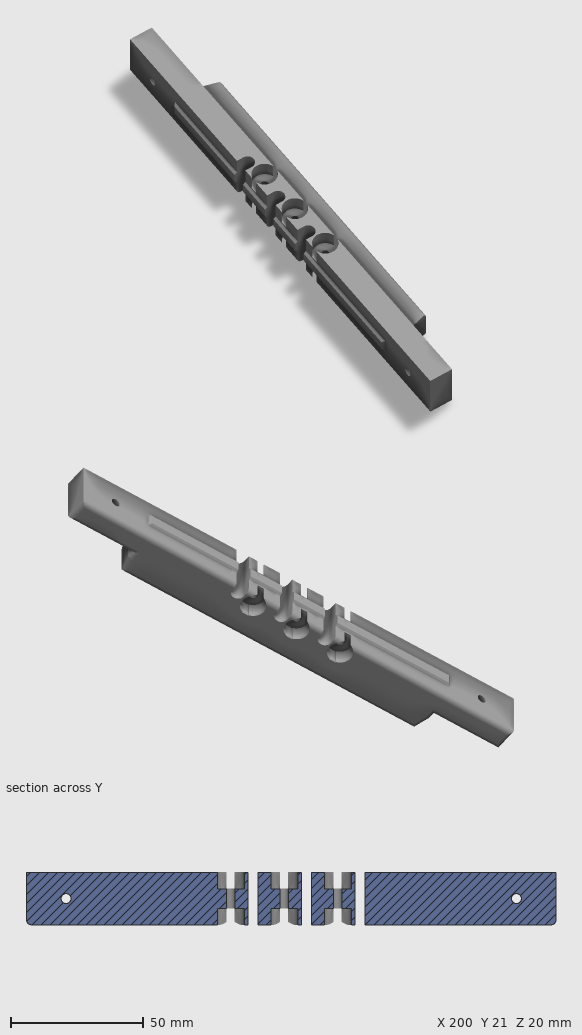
import cadquery as cq

bar_length = 200.0
bar_depth = 10.0
bar_height = 20.0
bottom_fillet = 2.0

block_length = 140.0
block_depth = 10.0
block_height = 13.5
block_straight_depth = 3.0
block_end_taper = 2.0
block_top_fillet = 1.5

rail_length = 140.0
rail_height = 6.2
rail_thickness = 1.0
rail_bevel = 1.0

mount_hole_diameter = 3.5
mount_hole_inset = 15.0

station_count = 3
station_pitch = 20.2
first_slot_x = 74.0
slot_to_bore = 8.5
slot_width = 5.5
slot_depth = 5.8
pin_hole_diameter = 3.0
counterbore_diameter = 10.0
counterbore_depth = 6.2
window_width = 3.0

center_x = bar_length / 2
center_z = bar_height / 2


def make_body():
    """Bar and rear block, with the underside rounded all around."""
    bar = cq.Workplane("XY").box(bar_length, bar_depth, bar_height, centered=False)
    left = center_x - block_length / 2
    right = center_x + block_length / 2
    taper_start = bar_depth + block_straight_depth
    back = bar_depth + block_depth
    block = (
        cq.Workplane("XY")
        .polyline([
            (left, bar_depth),
            (left, taper_start),
            (left + block_end_taper, back),
            (right - block_end_taper, back),
            (right, taper_start),
            (right, bar_depth),
        ])
        .close()
        .extrude(block_height)
        .faces(">Y").edges(">Z").fillet(block_top_fillet)
    )
    return bar.union(block).faces("<Z").edges().fillet(bottom_fillet)


def make_rail():
    """Front rail, rooted on the bar's front face and bevelled to its outer face."""
    return (
        cq.Workplane("XZ", origin=(center_x, 0, center_z))
        .rect(rail_length, rail_height)
        .workplane(offset=rail_thickness)
        .rect(rail_length - 2 * rail_bevel, rail_height - 2 * rail_bevel)
        .loft(ruled=True)
    )


def make_mount_holes():
    return (
        cq.Workplane("XZ", origin=(0, 0, center_z))
        .pushPoints([(mount_hole_inset, 0), (bar_length - mount_hole_inset, 0)])
        .circle(mount_hole_diameter / 2)
        .extrude(-bar_depth)
    )


def make_slot(x):
    """Full-height slot with a round inner end, open through the rail."""
    radius = slot_width / 2
    straight_end = slot_depth - radius
    return (
        cq.Workplane("XY")
        .moveTo(x - radius, -rail_thickness)
        .lineTo(x - radius, straight_end)
        .threePointArc((x, slot_depth), (x + radius, straight_end))
        .lineTo(x + radius, -rail_thickness)
        .close()
        .extrude(bar_height)
    )


def make_bore(x):
    """Vertical hole with a counterbore at each end and windows to the bar's faces."""
    axis = cq.Workplane("XY", origin=(x, bar_depth / 2, 0))
    hole = axis.circle(pin_hole_diameter / 2).extrude(bar_height)
    window = axis.rect(window_width, bar_depth).extrude(counterbore_depth)
    lower = axis.circle(counterbore_diameter / 2).extrude(counterbore_depth).union(window)
    upper = lower.translate((0, 0, bar_height - counterbore_depth))
    return hole.union(lower).union(upper)


result = make_body().union(make_rail()).cut(make_mount_holes())
for station in range(station_count):
    slot_x = first_slot_x + station * station_pitch
    result = result.cut(make_slot(slot_x)).cut(make_bore(slot_x + slot_to_bore))